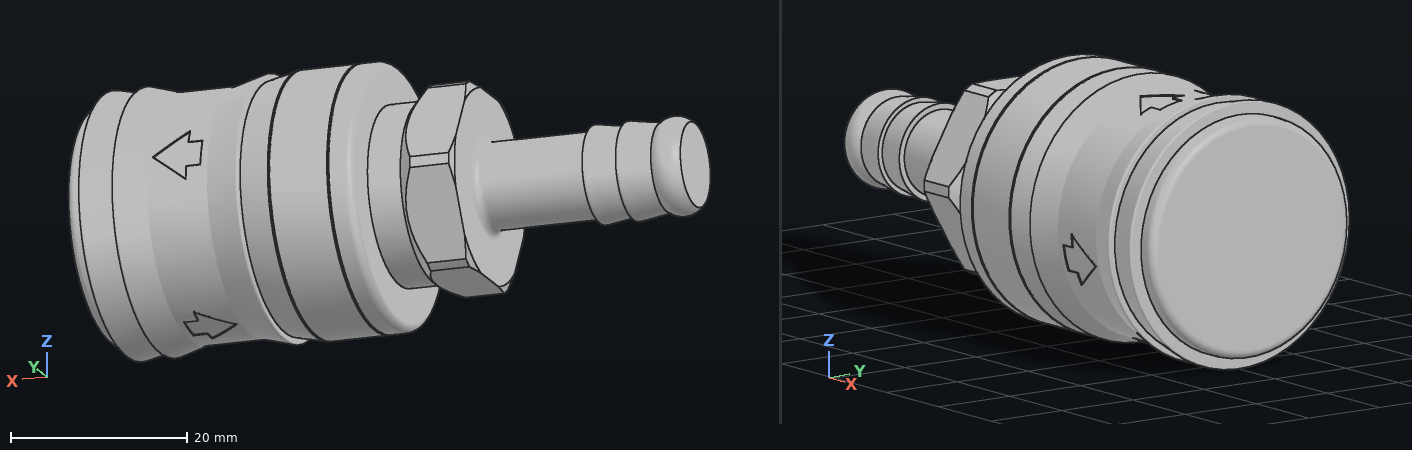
import cadquery as cq
import math


TOTAL_LENGTH = 71.0
BODY_RADIUS = 31.0 / 2
EDGE_ROUND = 1.0

SHANK_RADIUS = 10.1 / 2
BARB_RADIUS = 5.75
TIP_FACE_RADIUS = 4.9
BEAD_LENGTH = 3.5
BARB_PITCH = 4.05
BARB_ROOT_RADIUS = 5.2
BARB_LAND = 0.35
BARB_COUNT = 2
HEX_START = 24.9
HEX_FLATS = 22.0
HEX_CORNER_RADIUS = 12.35
HEX_FRONT_RADIUS = 11.35
HEX_FRONT_CHAMFER = 0.35
HEX_BACK_START = 29.95
COLLAR_START = 31.8
COLLAR_RADIUS = 21.0 / 2

CAP_START = 35.8
RING_START = 38.85
SLEEVE_START = 46.0
SOCKET_START = 68.95
SOCKET_RADIUS = 28.0 / 2
GROOVE_WIDTH = 0.2
GROOVE_DEPTH = 0.2

WAIST_RADIUS = 29.0 / 2
WAIST_START = 53.75
WAIST_END = 61.0
GRIP_ROOT_RADIUS = 14.7
FRONT_STEP = 49.6
BACK_STEP = 64.9
LIP_LAND = 0.3
LIP_ROUND = 0.2

ARROW_COUNT = 4
ARROW_OFFSET_ANGLE = 13.2
ARROW_TIP_REACH = 3.05
ARROW_TAIL_REACH = 2.8
ARROW_HEAD_LENGTH = 4.1
ARROW_HEAD_HALF_WIDTH = 3.1
ARROW_TAIL_HALF_WIDTH = 1.55
ARROW_DEPTH = 0.15


def revolve_about_x(profile):
    """Turn a closed (x, radius) profile fully about the X axis."""
    return profile.close().revolve(360, (0, 0, 0), (1, 0, 0))


def cylinder(start, end, radius):
    return cq.Workplane("YZ", origin=(start, 0, 0)).circle(radius).extrude(end - start)


def make_shank():
    """Barbed hose stem with a rounded tip bead and a filleted root."""
    profile = (
        cq.Workplane("XY")
        .moveTo(0, 0)
        .lineTo(0, TIP_FACE_RADIUS)
        .threePointArc((BEAD_LENGTH / 2, BARB_RADIUS), (BEAD_LENGTH, BARB_ROOT_RADIUS))
    )
    barb_end = BEAD_LENGTH
    for index in range(BARB_COUNT):
        if index > 0:
            profile = profile.lineTo(barb_end, BARB_ROOT_RADIUS)
        barb_end += BARB_PITCH
        profile = (
            profile.lineTo(barb_end - BARB_LAND, BARB_RADIUS)
            .lineTo(barb_end, BARB_RADIUS)
        )
    root_start = HEX_START - EDGE_ROUND
    root_radius = SHANK_RADIUS + EDGE_ROUND
    arc_reach = EDGE_ROUND * math.sqrt(0.5)
    profile = (
        profile.lineTo(barb_end, SHANK_RADIUS)
        .lineTo(root_start, SHANK_RADIUS)
        .threePointArc(
            (root_start + arc_reach, root_radius - arc_reach),
            (HEX_START, root_radius),
        )
        .lineTo(HEX_START, 0)
    )
    return revolve_about_x(profile)


def make_hexagon():
    """Hexagon with two flats facing up and down, its corners trimmed by turning."""
    prism = (
        cq.Workplane("YZ", origin=(HEX_START, 0, 0))
        .polygon(6, HEX_FLATS / math.cos(math.pi / 6))
        .extrude(COLLAR_START - HEX_START)
    )
    envelope = revolve_about_x(
        cq.Workplane("XY")
        .moveTo(HEX_START, 0)
        .lineTo(HEX_START, HEX_FRONT_RADIUS)
        .lineTo(HEX_START + HEX_FRONT_CHAMFER, HEX_CORNER_RADIUS)
        .lineTo(HEX_BACK_START, HEX_CORNER_RADIUS)
        .lineTo(COLLAR_START, COLLAR_RADIUS)
        .lineTo(COLLAR_START, 0)
    )
    return prism.intersect(envelope)


def make_connector():
    collar = cylinder(COLLAR_START, CAP_START, COLLAR_RADIUS)
    return make_shank().union(make_hexagon()).union(collar)


def make_grooved_disc(start, end):
    """Disc of full body radius with a parting groove at its back edge."""
    disc = cylinder(start, end - GROOVE_WIDTH, BODY_RADIUS)
    groove_floor = cylinder(end - GROOVE_WIDTH, end, BODY_RADIUS - GROOVE_DEPTH)
    return disc.union(groove_floor)


def make_cap():
    return make_grooved_disc(CAP_START, RING_START).faces("<X").edges().fillet(EDGE_ROUND)


def make_label_ring():
    return make_grooved_disc(RING_START, SLEEVE_START)


def make_grip():
    """Waisted sleeve whose cones end in stepped, rounded grip lips."""
    lip_floor = BODY_RADIUS - LIP_ROUND
    arc_reach = LIP_ROUND * math.sqrt(0.5)

    profile = (
        cq.Workplane("XY")
        .moveTo(SLEEVE_START, 0)
        .lineTo(SLEEVE_START, BODY_RADIUS)
        .lineTo(FRONT_STEP, GRIP_ROOT_RADIUS)
        .lineTo(FRONT_STEP, lip_floor)
        .threePointArc(
            (FRONT_STEP + LIP_ROUND - arc_reach, lip_floor + arc_reach),
            (FRONT_STEP + LIP_ROUND, BODY_RADIUS),
        )
        .lineTo(FRONT_STEP + LIP_LAND, BODY_RADIUS)
        .lineTo(WAIST_START, WAIST_RADIUS)
        .lineTo(WAIST_END, WAIST_RADIUS)
    )
    for lip_end in (BACK_STEP, SOCKET_START):
        profile = (
            profile.lineTo(lip_end - LIP_LAND, BODY_RADIUS)
            .lineTo(lip_end - LIP_ROUND, BODY_RADIUS)
            .threePointArc(
                (lip_end - LIP_ROUND + arc_reach, lip_floor + arc_reach),
                (lip_end, lip_floor),
            )
            .lineTo(lip_end, GRIP_ROOT_RADIUS)
        )
    return revolve_about_x(profile.lineTo(SOCKET_START, 0))


def make_arrow(index):
    """Arrow-shaped cutter, shallow below the waist; neighbours point opposite ways."""
    direction = 1 if index % 2 == 0 else -1
    middle = (WAIST_START + WAIST_END) / 2
    shoulder = ARROW_TIP_REACH - ARROW_HEAD_LENGTH
    outline = [
        (-ARROW_TAIL_REACH, -ARROW_TAIL_HALF_WIDTH),
        (shoulder, -ARROW_TAIL_HALF_WIDTH),
        (shoulder, -ARROW_HEAD_HALF_WIDTH),
        (ARROW_TIP_REACH, 0),
        (shoulder, ARROW_HEAD_HALF_WIDTH),
        (shoulder, ARROW_TAIL_HALF_WIDTH),
        (-ARROW_TAIL_REACH, ARROW_TAIL_HALF_WIDTH),
    ]
    placed = [(middle + direction * along, across) for along, across in outline]
    prism = cq.Workplane("XZ").polyline(placed).close().extrude(BODY_RADIUS)
    cutter = prism.cut(cylinder(WAIST_START, WAIST_END, WAIST_RADIUS - ARROW_DEPTH))
    angle = ARROW_OFFSET_ANGLE + index * 360 / ARROW_COUNT
    return cutter.rotate((0, 0, 0), (1, 0, 0), angle)


def make_sleeve():
    sleeve = make_grip()
    for index in range(ARROW_COUNT):
        sleeve = sleeve.cut(make_arrow(index))
    return sleeve


def make_socket():
    """Mouth ring behind the sleeve, rounded at its outer end."""
    return cylinder(SOCKET_START, TOTAL_LENGTH, SOCKET_RADIUS).faces(">X").edges().fillet(EDGE_ROUND)


connector = make_connector()
cap = make_cap()
label_ring = make_label_ring()
sleeve = make_sleeve()
socket = make_socket()

result = cq.Compound.makeCompound(
    [connector.val(), cap.val(), label_ring.val(), sleeve.val(), socket.val()]
)